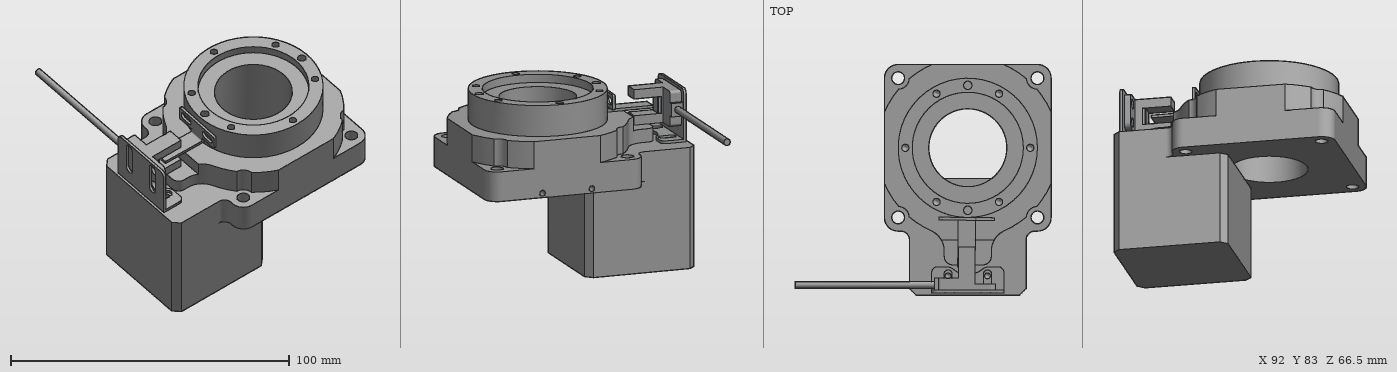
import cadquery as cq
import math


overall_height = 66.5
flange_half = 30.0
flange_thickness = 11.0
flange_corner_radius = 5.0
mount_hole_offset = flange_half - flange_corner_radius
mount_hole_diameter = 4.5
housing_radius = 32.6
housing_height = 10.0
housing_top = flange_thickness + housing_height
scallop_radius = 4.0
ring_radius = 25.0
ring_height = 11.5
ring_top = housing_top + ring_height
bore_radius = 14.0
recess_radius = 20.0
recess_depth = 3.0

bolt_circle_radius = 22.45
bolt_count = 6
bolt_hole_diameter = 2.6
bolt_hole_depth = 8.0
dowel_hole_diameter = 3.0
dowel_hole_depth = 6.0
drill_point_angle = 118.0

motor_width = 42.0
motor_chamfer = 2.5
motor_front = -53.0
motor_center_y = motor_front + motor_width / 2
motor_bottom = ring_top - overall_height
neck_fillet = 3.0

tongue_half_width = 8.5
tongue_end = -42.0
tongue_corner_radius = 3.0
tongue_flare_radius = 8.0
tongue_step_y = -33.2
tongue_height = 5.0

side_hole_diameter = 2.1
side_hole_depth = 6.0
side_hole_y = 9.5
side_hole_z = 1.7

sheet_thickness = 1.0
bracket_width = 25.9
bracket_height = 19.6
bracket_front = -52.2
bracket_back = -42.8
bracket_corner_radius = 2.0
bend_radius = 0.4
plate_slot_x = 6.5
plate_slot_width = 3.4
plate_slot_bottom = 5.5
plate_slot_top = 18.7
foot_slot_x = 7.1
foot_slot_width = 2.9
foot_slot_back = -43.9
foot_slot_front = -50.4
foot_hole_y = -46.0
foot_hole_diameter = 2.1
foot_hole_depth = 6.0
notch_radius = 8.1
notch_center_y = -37.4
notch_fillet = 4.0

bracket_inner_face = bracket_front + sheet_thickness
sensor_bottom = flange_thickness + 5.3
sensor_height = 13.2
sensor_center_z = sensor_bottom + sensor_height / 2
fork_left = -3.4
fork_right = 2.7
fork_tip = -35.7
fork_arm_thickness = 3.5
fork_gap_end = -46.2
pad_inset = 0.5
pad_front = -45.0
pad_chamfer = 0.3
left_flange_end = -10.6
left_flange_face = -46.8
left_flange_rounding = 1.0
right_flange_end = 10.0
right_flange_face = -48.85
right_flange_rounding = 1.9
sensor_hole_diameter = 3.3
sensor_hole_pitch = 7.0
cable_block_end = -12.05
cable_block_height = 5.0
cable_diameter = 2.5
cable_end = -62.0
cable_y = -49.3

flag_turn = -0.7
flag_width = 20.0
flag_plate_bottom = flange_thickness + 13.5
flag_plate_top = flange_thickness + 19.0
flag_corner_radius = 0.55
flag_arm_bottom = flange_thickness + 11.1
flag_arm_width = 6.3
flag_tip = -42.9
flag_slot_x = 6.1
flag_slot_length = 5.6
flag_slot_height = 2.8


def box(x_range, y_range, z_range):
    """Box between the given limits along each axis."""
    sizes = [high - low for low, high in (x_range, y_range, z_range)]
    corner = (x_range[0], y_range[0], z_range[0])
    return cq.Workplane("XY").box(*sizes, centered=False).translate(corner)


def cylinder(radius, z_bottom, height):
    """Cylinder on the bore axis."""
    return cq.Workplane("XY").workplane(offset=z_bottom).circle(radius).extrude(height)


def drilled_hole(diameter, depth, entry, direction):
    """Blind hole with a conical drill point."""
    radius = diameter / 2
    point_depth = radius / math.tan(math.radians(drill_point_angle / 2))
    start = cq.Vector(*entry)
    axis = cq.Vector(*direction)
    shank = cq.Solid.makeCylinder(radius, depth, start, axis)
    point = cq.Solid.makeCone(radius, 0, point_depth, start + axis * depth, axis)
    return cq.Workplane(shank.fuse(point))


def motor():
    return (
        cq.Workplane("XY", origin=(0, motor_center_y, motor_bottom))
        .rect(motor_width, motor_width)
        .extrude(flange_thickness - motor_bottom)
        .edges("|Z")
        .chamfer(motor_chamfer)
    )


def flange():
    return (
        cq.Workplane("XY")
        .rect(2 * flange_half, 2 * flange_half)
        .extrude(flange_thickness)
        .edges("|Z")
        .fillet(flange_corner_radius)
    )


def neck_web(side):
    """Concave fillet between one front lobe of the flange and the motor side."""
    motor_side = side * motor_width / 2
    reach = motor_side + side * neck_fillet
    front = -flange_half - neck_fillet
    sagitta = neck_fillet * (1 - math.sqrt(0.5))
    return (
        cq.Workplane("XY")
        .moveTo(motor_side, -flange_half)
        .lineTo(reach, -flange_half)
        .threePointArc((motor_side + side * sagitta, -flange_half - sagitta), (motor_side, front))
        .close()
        .extrude(flange_thickness)
    )


def housing_disc():
    """Round housing trimmed to the flange and scalloped at the mounting holes."""
    disc = cylinder(housing_radius, flange_thickness, housing_height)
    trim = (
        cq.Workplane("XY", origin=(0, 0, flange_thickness))
        .rect(2 * flange_half, 2 * flange_half)
        .extrude(housing_height)
    )
    scallops = (
        cq.Workplane("XY", origin=(0, 0, flange_thickness))
        .rect(2 * mount_hole_offset, 2 * mount_hole_offset, forConstruction=True)
        .vertices()
        .circle(scallop_radius)
        .extrude(housing_height)
    )
    return disc.intersect(trim).cut(scallops)


def tongue():
    """Stepped tongue that flares tangentially out of the round housing."""
    flare_x = tongue_half_width + tongue_flare_radius
    center_distance = housing_radius + tongue_flare_radius
    flare_y = -math.sqrt(center_distance**2 - flare_x**2)
    root_x = flare_x * housing_radius / center_distance
    root_y = flare_y * housing_radius / center_distance
    half_sweep = math.atan2(-flare_y, flare_x) / 2
    mid_x = flare_x - tongue_flare_radius * math.cos(half_sweep)
    mid_y = flare_y + tongue_flare_radius * math.sin(half_sweep)
    body = (
        cq.Workplane("XY", origin=(0, 0, flange_thickness))
        .moveTo(-root_x, root_y)
        .threePointArc((-mid_x, mid_y), (-tongue_half_width, flare_y))
        .lineTo(-tongue_half_width, tongue_end)
        .lineTo(tongue_half_width, tongue_end)
        .lineTo(tongue_half_width, flare_y)
        .threePointArc((mid_x, mid_y), (root_x, root_y))
        .close()
        .extrude(housing_height)
        .edges("|Z and <Y")
        .fillet(tongue_corner_radius)
    )
    step = box(
        (-root_x, root_x),
        (tongue_end, tongue_step_y),
        (flange_thickness + tongue_height, housing_top),
    )
    return body.cut(step)


def make_stage():
    stage = flange().union(motor())
    for side in (-1, 1):
        stage = stage.union(neck_web(side))
    stage = stage.union(housing_disc()).union(tongue())
    stage = stage.union(cylinder(ring_radius, housing_top, ring_height))

    stage = stage.cut(cylinder(bore_radius, 0, ring_top))
    stage = stage.cut(cylinder(recess_radius, ring_top - recess_depth, recess_depth))

    mount_holes = (
        cq.Workplane("XY")
        .rect(2 * mount_hole_offset, 2 * mount_hole_offset, forConstruction=True)
        .vertices()
        .circle(mount_hole_diameter / 2)
        .extrude(flange_thickness)
    )
    stage = stage.cut(mount_holes)

    for index in range(bolt_count):
        angle = 2 * math.pi * index / bolt_count
        entry = (bolt_circle_radius * math.cos(angle), bolt_circle_radius * math.sin(angle), ring_top)
        stage = stage.cut(drilled_hole(bolt_hole_diameter, bolt_hole_depth, entry, (0, 0, -1)))
    dowel_holes = (
        cq.Workplane("XY", origin=(0, 0, ring_top))
        .pushPoints([(0, bolt_circle_radius), (0, -bolt_circle_radius)])
        .circle(dowel_hole_diameter / 2)
        .extrude(-dowel_hole_depth)
    )
    stage = stage.cut(dowel_holes)

    for side in (-1, 1):
        side_entry = (-flange_half, side * side_hole_y, side_hole_z)
        stage = stage.cut(drilled_hole(side_hole_diameter, side_hole_depth, side_entry, (1, 0, 0)))
        foot_entry = (side * foot_slot_x, foot_hole_y, flange_thickness)
        stage = stage.cut(drilled_hole(foot_hole_diameter, foot_hole_depth, foot_entry, (0, 0, -1)))
    return stage


def make_bracket():
    """Angle bracket: a foot screwed to the motor top and an upright plate for the sensor."""
    half_width = bracket_width / 2
    bottom = flange_thickness
    foot = box((-half_width, half_width), (bracket_front, bracket_back), (bottom, bottom + sheet_thickness))
    foot = foot.edges("|Z and >Y").fillet(bracket_corner_radius)
    notch = cylinder(notch_radius, bottom, sheet_thickness).translate((0, notch_center_y, 0))
    foot = foot.cut(notch)
    notch_x = math.sqrt(notch_radius**2 - (notch_center_y - bracket_back) ** 2)
    notch_edges = cq.selectors.BoxSelector(
        (-notch_x - sheet_thickness, bracket_back - sheet_thickness, bottom),
        (notch_x + sheet_thickness, bracket_back + sheet_thickness, bottom + sheet_thickness),
    )
    foot = foot.edges("|Z").edges(notch_edges).fillet(notch_fillet)
    foot_slots = (
        cq.Workplane("XY", origin=(0, (foot_slot_back + foot_slot_front) / 2, bottom))
        .pushPoints([(-foot_slot_x, 0), (foot_slot_x, 0)])
        .slot2D(foot_slot_back - foot_slot_front, foot_slot_width, 90)
        .extrude(sheet_thickness)
    )

    plate = box(
        (-half_width, half_width),
        (bracket_front, bracket_inner_face),
        (bottom, bottom + bracket_height),
    )
    plate = plate.edges("|Y and >Z").fillet(bracket_corner_radius)
    slot_center_z = bottom + (plate_slot_bottom + plate_slot_top) / 2
    plate_slots = (
        cq.Workplane("XZ", origin=(0, bracket_inner_face, slot_center_z))
        .pushPoints([(-plate_slot_x, 0), (plate_slot_x, 0)])
        .slot2D(plate_slot_top - plate_slot_bottom, plate_slot_width, 90)
        .extrude(sheet_thickness)
    )
    bracket = foot.cut(foot_slots).union(plate.cut(plate_slots))
    return bracket.edges("|X and <Y and <Z").fillet(bend_radius)


def make_sensor():
    """Fork sensor with two unequal mounting flanges and its cable."""
    sensor_top = sensor_bottom + sensor_height
    height = (sensor_bottom, sensor_top)
    gap = (sensor_bottom + fork_arm_thickness, sensor_top - fork_arm_thickness)

    fork = box((fork_left, fork_right), (bracket_inner_face, fork_tip), height)
    fork = fork.cut(box((fork_left, fork_right), (fork_gap_end, fork_tip), gap))
    pad = box((fork_left + pad_inset, fork_right - pad_inset), (fork_gap_end, pad_front), gap)
    pad = pad.edges("|Z and >Y").chamfer(pad_chamfer)

    left_flange = box((left_flange_end, fork_left), (bracket_inner_face, left_flange_face), height)
    left_flange = left_flange.edges("|Y and <X").fillet(left_flange_rounding)
    right_flange = box((fork_right, right_flange_end), (bracket_inner_face, right_flange_face), height)
    right_flange = right_flange.edges("|Y and >X").fillet(right_flange_rounding)
    screw_holes = (
        cq.Workplane("XZ", origin=(plate_slot_x, right_flange_face, sensor_center_z))
        .pushPoints([(0, -sensor_hole_pitch / 2), (0, sensor_hole_pitch / 2)])
        .circle(sensor_hole_diameter / 2)
        .extrude(right_flange_face - bracket_inner_face)
    )

    cable_block = box(
        (cable_block_end, left_flange_end),
        (bracket_inner_face, left_flange_face),
        (sensor_center_z - cable_block_height / 2, sensor_center_z + cable_block_height / 2),
    )
    cable = (
        cq.Workplane("YZ", origin=(cable_end, cable_y, sensor_center_z))
        .circle(cable_diameter / 2)
        .extrude(cable_block_end - cable_end)
    )
    sensor = fork.union(pad).union(left_flange).union(right_flange.cut(screw_holes))
    return sensor.union(cable_block).union(cable)


def make_flag():
    """Bent sheet flag on the ring whose arm reaches into the sensor fork."""
    half_width = flag_width / 2
    back = -ring_radius
    front = back - sheet_thickness
    plate = box((-half_width, half_width), (front, back), (flag_plate_bottom, flag_plate_top))
    plate = plate.edges("|Y").fillet(flag_corner_radius)
    slots = (
        cq.Workplane("XZ", origin=(0, back, (flag_plate_bottom + flag_plate_top) / 2))
        .pushPoints([(-flag_slot_x, 0), (flag_slot_x, 0)])
        .slot2D(flag_slot_length, flag_slot_height)
        .extrude(sheet_thickness)
    )
    arm_sides = (-flag_arm_width / 2, flag_arm_width / 2)
    arm_top = flag_arm_bottom + sheet_thickness
    strip = box(arm_sides, (front, back), (flag_arm_bottom, flag_plate_bottom))
    arm = box(arm_sides, (flag_tip, back), (flag_arm_bottom, arm_top))
    bend = cq.selectors.NearestToPointSelector((0, front, arm_top))
    bent_strip = strip.union(arm).edges("|X").edges(bend).fillet(bend_radius)
    flag = plate.cut(slots).union(bent_strip)
    return flag.rotate((0, 0, 0), (0, 0, 1), flag_turn)


stage = make_stage()
bracket = make_bracket()
sensor = make_sensor()
flag = make_flag()

bodies = [stage, bracket, sensor, flag]
result = cq.Compound.makeCompound([body.solids().val() for body in bodies])